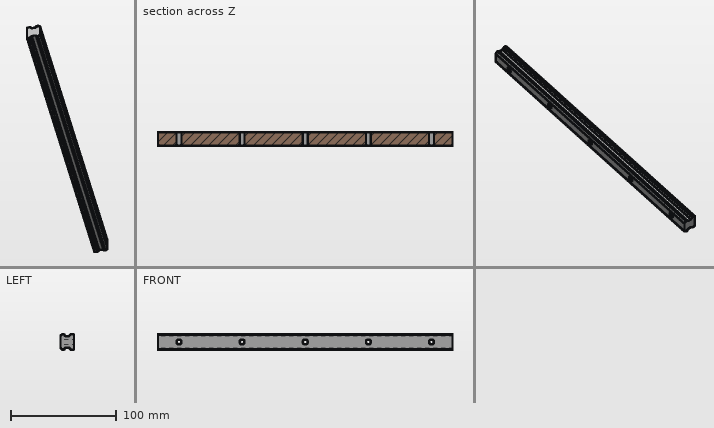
import cadquery as cq

length = 280.0
width = 15.0
height = 13.0

hole_diameter = 4.5
hole_pitch = 60.0
hole_count = 5

base_chamfer = 0.7
base_land_end = 3.0
groove_depth = 1.85
groove_floor_start = base_land_end + groove_depth

track_start = 7.9
track_middle = 8.7
track_middle_depth = 1.5
track_end = 9.2
track_end_depth = 0.4

head_land_start = 9.9
head_land_end = 10.8
chamfer_start = 11.4
chamfer_start_depth = 0.3
chamfer_end = 12.6
chamfer_end_depth = 1.3
head_top_depth = 1.9


def section_point(distance, depth):
    """YZ point from its distance to the mounting face and its depth below the +Z side."""
    return distance - height / 2, width / 2 - depth


def rail_body():
    """Half section above Z = 0, mirrored to the full section and extruded along X."""
    upper_half = (
        cq.Workplane("YZ", origin=(-length / 2, 0, 0))
        .moveTo(-height / 2, 0)
        .lineTo(*section_point(0, base_chamfer))
        .lineTo(*section_point(base_chamfer, 0))
        .lineTo(*section_point(base_land_end, 0))
        .lineTo(*section_point(groove_floor_start, groove_depth))
        .lineTo(*section_point(track_start, groove_depth))
        .threePointArc(
            section_point(track_middle, track_middle_depth),
            section_point(track_end, track_end_depth),
        )
        .lineTo(*section_point(head_land_start, 0))
        .lineTo(*section_point(head_land_end, 0))
        .lineTo(*section_point(chamfer_start, chamfer_start_depth))
        .lineTo(*section_point(chamfer_end, chamfer_end_depth))
        .lineTo(*section_point(height, head_top_depth))
        .lineTo(height / 2, 0)
    )
    return upper_half.mirrorX().extrude(length)


def mounting_holes():
    """Row of plain holes along X, each running through the full height in Y."""
    return (
        cq.Workplane("XZ", origin=(0, height / 2, 0))
        .rarray(hole_pitch, 1, hole_count, 1)
        .circle(hole_diameter / 2)
        .extrude(height)
    )


result = rail_body().cut(mounting_holes())